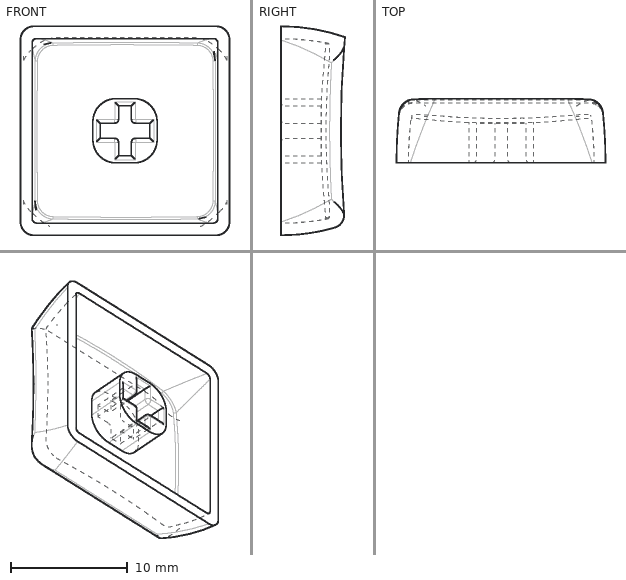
import cadquery as cq

rim_size = 17.9
cap_height = 5.5

wall_inset_x = 0.35
wall_inset_z = 0.93
rim_corner_radius = 1.16
top_corner_radius = 2.94
section_count = 5

dish_depth = 0.35
shoulder_height = 4.48
shoulder_radius = 1.16

cavity_size_x = 15.9
cavity_size_z = 15.79
cavity_corner_radius = 0.4
cavity_inset_x = 0.29
cavity_inset_z = 0.43
floor_corner_radius = 1.61
floor_height = 3.4
floor_sag = 0.45
floor_fillet = 0.18
cavity_height = floor_height + 2 * floor_sag
floor_half_width = cavity_size_x / 2 - cavity_inset_x
floor_radius = (floor_half_width**2 + floor_sag**2) / (2 * floor_sag)

stem_size = 5.5
stem_corner_radius = 1.97
socket_length = 4.26
socket_width_x = 1.1
socket_width_z = 1.27
socket_corner_radius = 0.35
socket_mouth_fillet = 0.34


def rounded_section(size_x, size_z, radius, y):
    """Rounded rectangle wire, parallel to the rim, at height y."""
    half_x = size_x / 2
    half_z = size_z / 2
    corners = [(-half_x, -half_z), (half_x, -half_z), (half_x, half_z), (-half_x, half_z)]
    outline = cq.Wire.makePolygon([cq.Vector(x, y, z) for x, z in corners], close=True)
    return outline.fillet2D(radius, outline.Vertices())


def loft_rounded(size_x, size_z, inset_x, inset_z, start_radius, end_radius, height):
    """Loft whose sides curve inwards parabolically, square to the rim at Y = 0."""
    wires = []
    for i in range(section_count):
        t = i / (section_count - 1)
        radius = start_radius + (end_radius - start_radius) * t
        section_x = size_x - 2 * inset_x * t**2
        section_z = size_z - 2 * inset_z * t**2
        wires.append(rounded_section(section_x, section_z, radius, height * t))
    return cq.Workplane(cq.Solid.makeLoft(wires))


def wall_tangent(inset, y):
    """Half width at height y of the line tangent to the curved wall at the shoulder."""
    slope = 2 * inset * shoulder_height / cap_height**2
    half_width = rim_size / 2 - inset * (shoulder_height / cap_height) ** 2
    return half_width - slope * (y - shoulder_height)


def dish_envelope():
    """Block with the dished top, its X and -Z top edges rounded and its +Z end left clear."""
    side_top = wall_tangent(wall_inset_x, cap_height)
    side_base = wall_tangent(wall_inset_x, 0)
    side_points = [(-side_base, 0), (side_base, 0), (side_top, cap_height), (-side_top, cap_height)]
    across = cq.Workplane("XY").polyline(side_points).close().extrude(rim_size, both=True)

    front_top = wall_tangent(wall_inset_z, cap_height)
    front_base = wall_tangent(wall_inset_z, 0)
    along = (
        cq.Workplane("YZ")
        .moveTo(0, -front_base)
        .lineTo(cap_height, -front_top)
        .threePointArc((cap_height - dish_depth, 0), (cap_height, front_top))
        .lineTo(cap_height, rim_size)
        .lineTo(0, rim_size)
        .close()
        .extrude(rim_size, both=True)
    )
    block = across.intersect(along)
    dish_edges = block.faces("%CYLINDER").edges("not >Z")
    return dish_edges.fillet(shoulder_radius)


def outer_shell():
    shell = loft_rounded(
        rim_size, rim_size, wall_inset_x, wall_inset_z, rim_corner_radius, top_corner_radius, cap_height
    )
    return shell.intersect(dish_envelope())


def cavity():
    walls = loft_rounded(
        cavity_size_x, cavity_size_z, cavity_inset_x, cavity_inset_z,
        cavity_corner_radius, floor_corner_radius, cavity_height,
    )
    floor_ball = cq.Workplane("XY").sphere(floor_radius).translate((0, floor_height + floor_radius, 0))
    return walls.cut(floor_ball).faces(">Y").edges().fillet(floor_fillet)


def stem():
    return (
        cq.Workplane("XZ")
        .rect(stem_size, stem_size)
        .extrude(-cavity_height)
        .edges("|Y")
        .fillet(stem_corner_radius)
    )


def cut_socket(body):
    """Cut the cross to floor depth, then round its inner corners and its mouth."""
    bars = cq.Workplane("XZ").rect(socket_length, socket_width_z).extrude(-floor_height)
    bars = bars.union(cq.Workplane("XZ").rect(socket_width_x, socket_length).extrude(-floor_height))
    inner_half = socket_length / 4
    inner_corners = cq.selectors.BoxSelector(
        (-inner_half, 0, -inner_half), (inner_half, cap_height, inner_half)
    )
    bars = bars.edges("|Y").edges(inner_corners).fillet(socket_corner_radius)
    body = body.cut(bars)
    mouth_half = socket_length / 2 + socket_mouth_fillet / 2
    mouth = cq.selectors.BoxSelector(
        (-mouth_half, -0.18, -mouth_half), (mouth_half, 0.18, mouth_half), boundingbox=True
    )
    return body.edges(mouth).fillet(socket_mouth_fillet)


socket_space = stem().cut(cut_socket(stem()))
result = outer_shell().cut(cavity()).union(stem()).cut(socket_space)